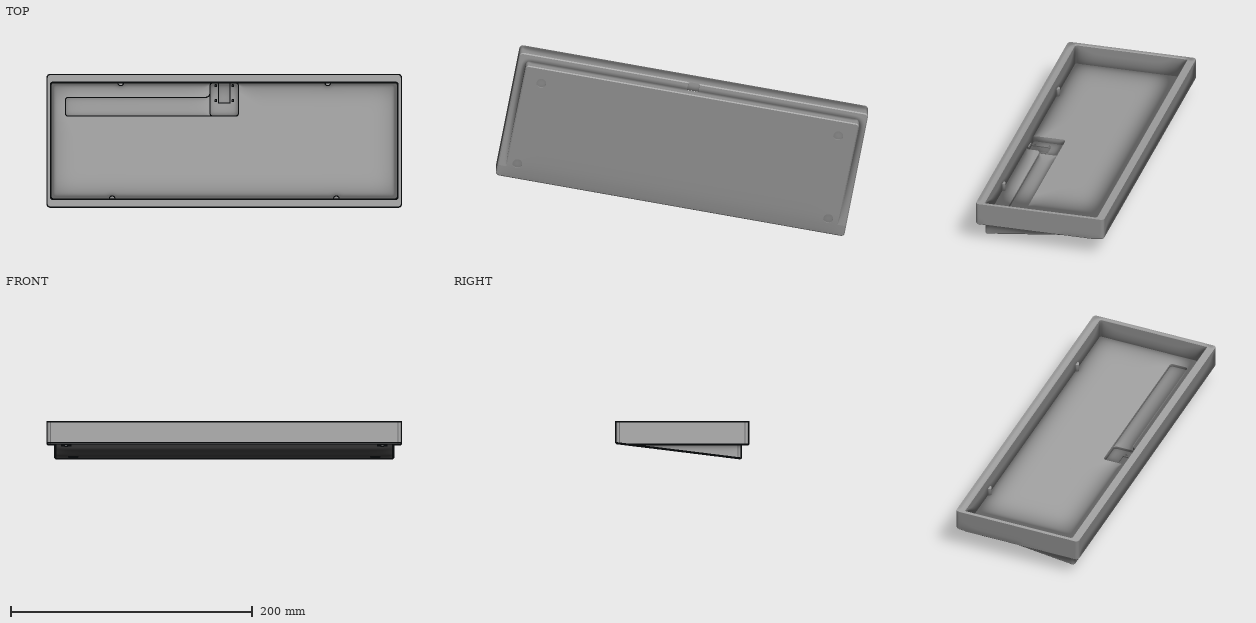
import cadquery as cq
import math

length = 293.7
width = 110.0
total_height = 30.8
tray_height = 19.5
corner_radius = 3.0
bottom_chamfer = 1.0
rim_chamfer = 0.5
tray_bottom = total_height - tray_height

end_wall = 3.5
long_wall = 7.0
cavity_depth = 17.5
cavity_corner_radius = 1.5
cavity_back = width / 2 - long_wall
floor_z = total_height - cavity_depth

wedge_end_inset = 6.5
wedge_long_inset = 6.2
wedge_angle = 7.0
wedge_corner_radius = 2.5
wedge_length = length - 2 * wedge_end_inset
wedge_width = width - 2 * wedge_long_inset
wedge_back = wedge_width / 2
slope = math.tan(math.radians(wedge_angle))
wedge_back_z = -bottom_chamfer * math.sin(math.radians(wedge_angle))

rib_radius = 2.3
rib_height = 6.8
back_rib_x = 85.8
front_rib_x = 92.8

pocket_length = 23.8
pocket_width = 27.5
pocket_depth = 5.0
pocket_corner_radius = 2.5
pocket_front = cavity_back - pocket_width
pocket_z = floor_z - pocket_depth
channel_left = -131.5
channel_width = 15.5
channel_depth = 2.5
channel_mouth_radius = 3.5

connector_width = 9.7
recess_length = 16.7
recess_depth = 1.0
opening_height = 3.0
opening_sill = 1.2
opening_corner_radius = 1.2
screw_diameter = 1.6
screw_depth = 3.0
screw_spacing_x = 14.0
screw_spacing_y = 12.3
screw_back_gap = 2.3

foot_diameter = 8.0
foot_depth = 1.0
back_foot = (125.0, 35.2)
front_foot = (131.0, -41.0)


def underside_z(y):
    """Height of the sloping underside at a given Y."""
    return wedge_back_z + (wedge_back - y) * slope


def box(x_min, x_max, y_min, y_max, z_min, z_max):
    """Axis-aligned block between two opposite corners."""
    corner = cq.Workplane("XY", origin=(x_min, y_min, z_min))
    return corner.box(x_max - x_min, y_max - y_min, z_max - z_min, centered=False)


def rounded_box(x_size, y_size, z_min, z_max, radius):
    """Block centred in X and Y with rounded upright edges."""
    block = box(-x_size / 2, x_size / 2, -y_size / 2, y_size / 2, z_min, z_max)
    return block.edges("|Z").fillet(radius)


def sloped_block(x_size, y_size, z_max, radius):
    """Rounded block resting on the sloping underside, with a chamfered bottom rim."""
    back_y = y_size / 2
    back_z = underside_z(back_y)
    front_z = underside_z(-back_y)
    waste = (
        cq.Workplane("YZ")
        .polyline([(back_y, back_z), (-back_y, front_z), (-back_y, back_z)])
        .close()
        .extrude(x_size / 2, both=True)
    )
    block = rounded_box(x_size, y_size, back_z, z_max, radius).cut(waste)
    underside = cq.DirectionMinMaxSelector(cq.Vector(0, slope, 1), False)
    return block.faces(underside).edges().chamfer(bottom_chamfer)


def make_tray():
    block = rounded_box(length, width, tray_bottom, total_height, corner_radius)
    block = block.faces("<Z").edges().chamfer(bottom_chamfer)
    return block.intersect(sloped_block(length, width, total_height, corner_radius))


def make_wedge():
    return sloped_block(wedge_length, wedge_width, floor_z, wedge_corner_radius)


def make_cavity():
    cavity_length = length - 2 * end_wall
    cavity_width = 2 * cavity_back
    cavity = rounded_box(cavity_length, cavity_width, floor_z, total_height, cavity_corner_radius)
    rim = rounded_box(
        cavity_length + 2 * rim_chamfer,
        cavity_width + 2 * rim_chamfer,
        total_height - rim_chamfer,
        total_height + rim_chamfer,
        cavity_corner_radius + rim_chamfer,
    )
    return cavity.union(rim.faces("<Z").edges().chamfer(rim_chamfer))


def make_ribs():
    centres = []
    for side in (-1, 1):
        centres.append((side * back_rib_x, cavity_back))
        centres.append((side * front_rib_x, -cavity_back))
    ribs = cq.Workplane("XY", origin=(0, 0, floor_z)).pushPoints(centres)
    return ribs.circle(rib_radius).extrude(rib_height)


def make_pocket():
    half = pocket_length / 2
    pocket = box(-half, half, pocket_front, cavity_back, pocket_z, floor_z)
    return pocket.edges("|Z").fillet(pocket_corner_radius)


def make_channel():
    channel_z = floor_z - channel_depth
    channel_back = pocket_front + channel_width
    channel = box(channel_left, 0, pocket_front, channel_back, channel_z, floor_z)
    channel = channel.edges("|Z and <X").fillet(pocket_corner_radius)
    radius = channel_mouth_radius
    mouth = (-pocket_length / 2, channel_back)
    flare = (
        cq.Workplane("XY", origin=(*mouth, channel_z))
        .moveTo(-radius, 0)
        .radiusArc((0, radius), -radius)
        .lineTo(0, 0)
        .close()
        .extrude(channel_depth)
    )
    return channel.union(flare)


def make_connector_cut():
    half = connector_width / 2
    recess_z = pocket_z - recess_depth
    recess = box(-half, half, cavity_back - recess_length, cavity_back, recess_z, pocket_z)
    opening_z = pocket_z + opening_sill
    opening = box(-half, half, cavity_back, width / 2, opening_z, opening_z + opening_height)
    opening = opening.edges("|Y").fillet(opening_corner_radius)
    return recess.union(opening)


def make_screw_holes():
    centre_y = cavity_back - screw_back_gap - screw_spacing_y / 2
    return (
        cq.Workplane("XY", origin=(0, centre_y, pocket_z))
        .rarray(screw_spacing_x, screw_spacing_y, 2, 2)
        .circle(screw_diameter / 2)
        .extrude(-screw_depth)
    )


def make_foot_recess(x, y):
    underside = cq.Plane(
        origin=(x, y, underside_z(y)),
        xDir=(1, 0, 0),
        normal=(0, slope, 1),
    )
    return cq.Workplane(underside).circle(foot_diameter / 2).extrude(foot_depth)


result = make_tray().union(make_wedge()).cut(make_cavity()).union(make_ribs())
result = result.cut(make_pocket()).cut(make_channel())
result = result.cut(make_connector_cut()).cut(make_screw_holes())
for foot_x, foot_y in (back_foot, front_foot):
    for side in (-1, 1):
        result = result.cut(make_foot_recess(side * foot_x, foot_y))